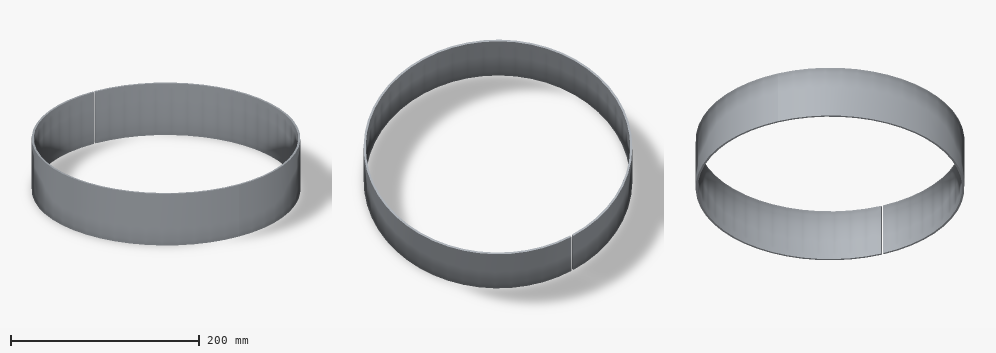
import cadquery as cq

outer_diameter = 285.0
wall_thickness = 2.3
band_height = 60.0
slit_width = 2.0

outer_radius = outer_diameter / 2
inner_radius = outer_radius - wall_thickness

band = cq.Workplane("XY").circle(outer_radius).circle(inner_radius).extrude(band_height)

slit_length = 4 * wall_thickness
slit = (
    cq.Workplane("XY")
    .center(-outer_radius, slit_width / 2)
    .rect(slit_length, slit_width)
    .extrude(band_height)
)

result = band.cut(slit)